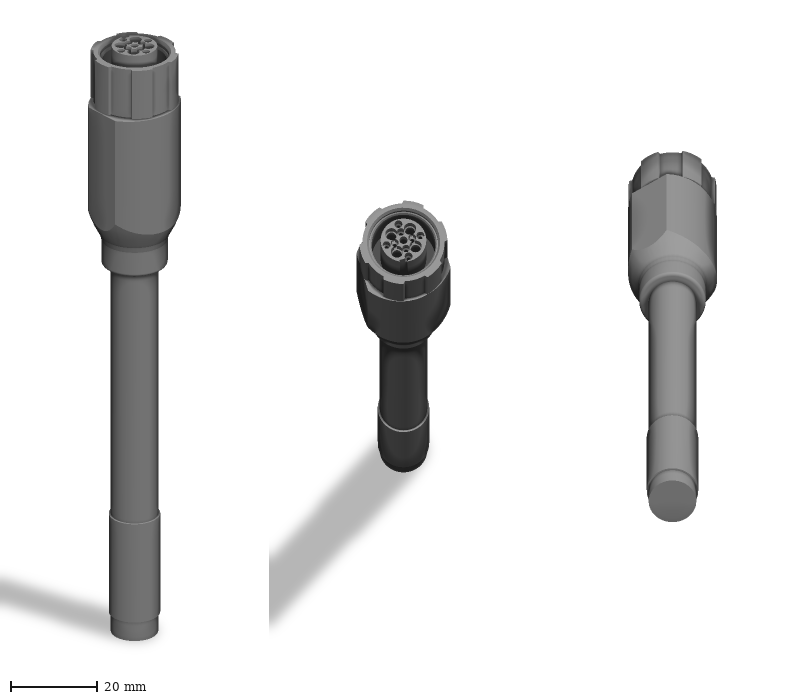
import cadquery as cq
import math

total_height = 151.5
nut_top = 150.0
nut_bottom = 137.6
body_top = 137.0
shoulder_top = 110.8
shoulder_middle = 107.0
shoulder_bottom = 103.0
collar_top = 101.7
collar_bottom = 95.3
sleeve_top = 30.5
sleeve_bottom = 5.0

nut_outer_diameter = 20.5
nut_outer_radius = nut_outer_diameter / 2
nut_recess_radius = 9.5
rib_count = 6
rib_pitch = 360.0 / rib_count
first_rib_angle = 90.0
rib_half_angle = 13.5
recess_half_angle = 14.5

body_half_width = 10.0
flat_width = 9.5
flat_half_width = flat_width / 2

neck_diameter = 17.9

shoulder_top_radius = 11.2
shoulder_bottom_diameter = 16.0
collar_diameter = 15.5
collar_fillet = 0.8
cable_diameter = 11.0
sleeve_diameter = 12.0

socket_mouth_diameter = 17.0
relief_diameter = 16.0
thread_entry_diameter = 15.5
thread_diameter = 14.9
socket_mouth_depth = 0.8
relief_depth = 1.5
thread_entry_depth = 2.0
socket_depth = 12.1

insert_diameter = 10.6
key_width = 1.8
key_depth = 0.9
key_offset = 1.4
contact_depth = 7.6
contact_mouth_depth = 2.3
power_circle_radius = 3.2
power_hole_diameter = 2.3
power_mouth_diameter = 2.9
outer_signal_radius = 4.1
inner_signal_radius = 2.1
signal_hole_diameter = 0.95
signal_mouth_diameter = 1.8
centre_hole_diameter = 1.8
contacts_per_circle = 4
contact_pitch = 360.0 / contacts_per_circle


def cylinder(diameter, bottom, top):
    return cq.Workplane("XY").workplane(offset=bottom).circle(diameter / 2).extrude(top - bottom)


def polar(radius, degrees):
    angle = math.radians(degrees)
    return (radius * math.cos(angle), radius * math.sin(angle))


def make_nut():
    """Ribbed ring whose raised sectors include the +Y and -Y directions."""
    outline = cq.Workplane("XY").workplane(offset=nut_bottom)
    outline = outline.moveTo(*polar(nut_recess_radius, first_rib_angle - rib_pitch / 2 + recess_half_angle))
    for rib in range(rib_count):
        middle = first_rib_angle + rib * rib_pitch
        rib_end = middle + rib_half_angle
        recess_middle = middle + rib_pitch / 2
        outline = outline.lineTo(*polar(nut_outer_radius, middle - rib_half_angle))
        outline = outline.threePointArc(polar(nut_outer_radius, middle), polar(nut_outer_radius, rib_end))
        outline = outline.lineTo(*polar(nut_recess_radius, recess_middle - recess_half_angle))
        outline = outline.threePointArc(
            polar(nut_recess_radius, recess_middle),
            polar(nut_recess_radius, recess_middle + recess_half_angle),
        )
    return outline.close().extrude(nut_top - nut_bottom)


def make_body():
    """Flat-sided grip trimmed by a rounded shoulder that narrows to the collar."""
    grip = (
        cq.Workplane("XY")
        .workplane(offset=collar_top)
        .moveTo(-flat_half_width, -body_half_width)
        .lineTo(flat_half_width, -body_half_width)
        .threePointArc((body_half_width, 0), (flat_half_width, body_half_width))
        .lineTo(-flat_half_width, body_half_width)
        .threePointArc((-body_half_width, 0), (-flat_half_width, -body_half_width))
        .close()
        .extrude(body_top - collar_top)
    )
    envelope = (
        cq.Workplane("XZ")
        .moveTo(0, collar_top)
        .lineTo(collar_diameter / 2, collar_top)
        .lineTo(shoulder_bottom_diameter / 2, shoulder_bottom)
        .threePointArc((body_half_width, shoulder_middle), (shoulder_top_radius, shoulder_top))
        .lineTo(shoulder_top_radius, body_top)
        .lineTo(0, body_top)
        .close()
        .revolve(360, (0, 0, 0), (0, 1, 0))
    )
    return grip.intersect(envelope)


def make_cable():
    """Collar, cable and the sleeve near its free end."""
    collar = cylinder(collar_diameter, collar_bottom, collar_top).faces("<Z").fillet(collar_fillet)
    cable = cylinder(cable_diameter, 0, collar_top)
    sleeve = cylinder(sleeve_diameter, sleeve_bottom, sleeve_top)
    return collar.union(cable).union(sleeve)


def make_socket():
    """Stepped bore of the nut, with conical lead-ins."""
    return (
        cq.Workplane("XZ")
        .moveTo(0, nut_top)
        .lineTo(socket_mouth_diameter / 2, nut_top)
        .lineTo(relief_diameter / 2, nut_top - socket_mouth_depth)
        .lineTo(relief_diameter / 2, nut_top - relief_depth)
        .lineTo(thread_entry_diameter / 2, nut_top - relief_depth)
        .lineTo(thread_diameter / 2, nut_top - thread_entry_depth)
        .lineTo(thread_diameter / 2, nut_top - socket_depth)
        .lineTo(0, nut_top - socket_depth)
        .close()
        .revolve(360, (0, 0, 0), (0, 1, 0))
    )


def contact_holes(circle_radius, start_angle, hole_diameter, mouth_diameter):
    """Ring of counterbored blind holes in the top of the insert."""
    hole = (
        cq.Workplane("XZ")
        .moveTo(0, total_height)
        .lineTo(mouth_diameter / 2, total_height)
        .lineTo(mouth_diameter / 2, total_height - contact_mouth_depth)
        .lineTo(hole_diameter / 2, total_height - contact_mouth_depth)
        .lineTo(hole_diameter / 2, total_height - contact_depth)
        .lineTo(0, total_height - contact_depth)
        .close()
        .revolve(360, (0, 0, 0), (0, 1, 0))
        .translate((circle_radius, 0, 0))
    )
    holes = cq.Workplane("XY")
    for index in range(contacts_per_circle):
        holes = holes.add(hole.rotate((0, 0, 0), (0, 0, 1), start_angle + index * contact_pitch))
    return holes.combine()


def make_insert():
    """Contact carrier with a key groove, power and signal contacts around a centre hole."""
    insert_bottom = nut_top - socket_depth
    insert = cylinder(insert_diameter, insert_bottom, total_height)
    key_height = total_height - insert_bottom
    key_groove = cq.Workplane("XY").box(2 * key_depth, key_width, key_height, centered=(True, True, False))
    key_groove = key_groove.translate((-insert_diameter / 2, key_offset, insert_bottom))
    power_holes = contact_holes(
        power_circle_radius, contact_pitch / 2, power_hole_diameter, power_mouth_diameter
    )
    centre_hole = cylinder(centre_hole_diameter, total_height - contact_depth, total_height)
    insert = insert.cut(key_groove).cut(power_holes).cut(centre_hole)
    for circle_radius in (inner_signal_radius, outer_signal_radius):
        insert = insert.cut(contact_holes(circle_radius, 0, signal_hole_diameter, signal_mouth_diameter))
    return insert


neck = cylinder(neck_diameter, body_top, nut_bottom)
shell = make_cable().union(make_body()).union(neck).union(make_nut())
result = shell.cut(make_socket()).union(make_insert())